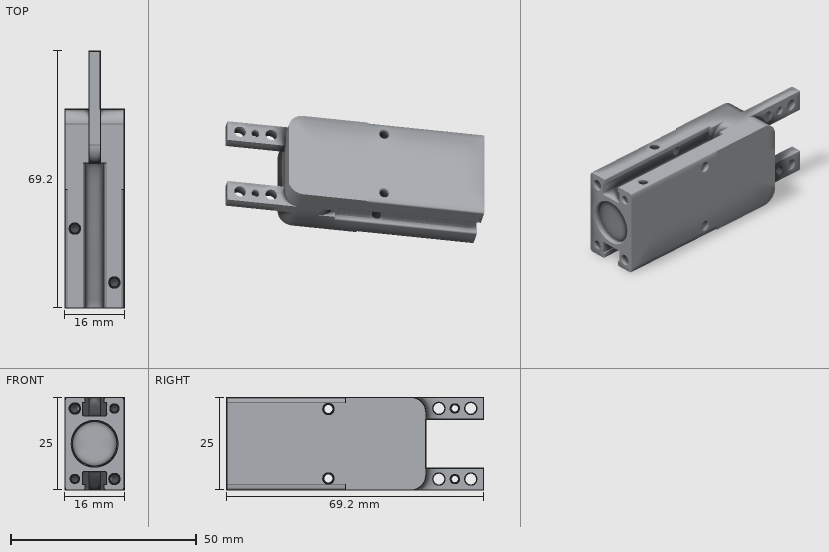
import cadquery as cq
import math

WIDTH = 16.0
HEIGHT = 25.0
HOUSING_LENGTH = 53.6
NOSE_RADIUS = 4.0

RELIEF_LENGTH = 32.0
RELIEF_HEIGHT = 1.45
RELIEF_WIDTH = 0.6
RELIEF_SIDE_DRAW_IN = 0.17
EDGE_DROP = 0.35
EDGE_ROUND_RADIUS = 0.5

RAIL_LENGTH = 39.1
RAIL_DEPTH = 5.0
RAIL_WIDTH = 6.45
LIP_OPENING = 5.2
LIP_DEPTH = 1.45
RAIL_RADIUS = 0.4

BORE_DIAMETER = 12.0
BORE_MOUTH_DIAMETER = 12.6
BORE_DEPTH = 1.5

SMALL_CORE = 2.0
SMALL_MOUTH = 2.5
LARGE_CORE = 2.5
LARGE_MOUTH = 3.05
DRILL_POINT_ANGLE = 118
BLIND_DEPTH = 4.0

HOLE_X = 5.3
HOLE_Z = 9.5
TOP_HOLE_FRONT_Y = 21.45
TOP_HOLE_REAR_Y = 6.9
SIDE_HOLE_Y = 27.4
SIDE_HOLE_Z = 9.35

FINGER_TIP_Y = 69.2
FINGER_THICKNESS = 3.1
FINGER_HEIGHT = 5.95
FINGER_HEEL_RADIUS = 4.7
HEEL_GAP = 0.15
FINGER_HOLE_Y = 61.45
FINGER_HOLE_PITCH = 4.3
FINGER_HOLE_DIAMETER = 3.2

UP = cq.Vector(0, 0, 1)
RIGHT = cq.Vector(1, 0, 0)
FORWARD = cq.Vector(0, 1, 0)


def box_between(x_size, y_start, y_end, z_size):
    """Block centred on X and Z that spans the given Y range."""
    length = y_end - y_start
    return cq.Workplane("XY").box(x_size, length, z_size).translate((0, y_start + length / 2, 0))


def chamfered_mouth(point, direction, core, mouth):
    """45 degree cone that opens a hole from its core to its mouth diameter."""
    depth = (mouth - core) / 2
    return cq.Solid.makeCone(mouth / 2, core / 2, depth, point, direction)


def blind_hole(point, direction, core, mouth):
    """Cutter for a drilled hole with a chamfered mouth and a conical bottom."""
    tip_height = core / 2 / math.tan(math.radians(DRILL_POINT_ANGLE / 2))
    bottom = point + direction * BLIND_DEPTH
    shaft = cq.Solid.makeCylinder(core / 2, BLIND_DEPTH, point, direction)
    tip = cq.Solid.makeCone(core / 2, 0, tip_height, bottom, direction)
    return shaft.fuse(tip, chamfered_mouth(point, direction, core, mouth))


def cross_hole(y, z, width, core, mouth):
    """Cutter for a hole along X through a given width, chamfered at both ends."""
    start = cq.Vector(-width / 2, y, z)
    end = cq.Vector(width / 2, y, z)
    shaft = cq.Solid.makeCylinder(core / 2, width, start, RIGHT)
    return shaft.fuse(
        chamfered_mouth(start, RIGHT, core, mouth),
        chamfered_mouth(end, -RIGHT, core, mouth),
    )


def edge_relief():
    """Cutter for the long edge at +X, +Z: the side curves in, then rounds over to the top."""
    side = WIDTH / 2
    top = HEIGHT / 2
    shoulder_x = side - RELIEF_SIDE_DRAW_IN
    shoulder_z = top - EDGE_DROP
    curve_height = RELIEF_HEIGHT - EDGE_DROP
    curve_radius = (curve_height ** 2 + RELIEF_SIDE_DRAW_IN ** 2) / (2 * RELIEF_SIDE_DRAW_IN)
    half_angle = math.asin(curve_height / curve_radius) / 2
    curve_middle = (
        side - curve_radius * (1 - math.cos(half_angle)),
        top - RELIEF_HEIGHT + curve_radius * math.sin(half_angle),
    )
    return (
        cq.Workplane("XZ")
        .moveTo(side - RELIEF_WIDTH, top)
        .radiusArc((shoulder_x, shoulder_z), EDGE_ROUND_RADIUS)
        .threePointArc(curve_middle, (side, top - RELIEF_HEIGHT))
        .lineTo(side, top)
        .close()
        .extrude(-RELIEF_LENGTH)
    )


def rail():
    """Cutter for the undercut rail in the top face, with rounded lips and floor corners."""
    top = HEIGHT / 2
    undercut_height = RAIL_DEPTH - LIP_DEPTH
    undercut = (
        box_between(RAIL_WIDTH, 0, RAIL_LENGTH, undercut_height)
        .edges("|Y and <Z")
        .fillet(RAIL_RADIUS)
        .translate((0, 0, top - RAIL_DEPTH + undercut_height / 2))
    )
    half_opening = LIP_OPENING / 2
    opening = (
        cq.Workplane("XZ")
        .moveTo(-half_opening - RAIL_RADIUS, top)
        .radiusArc((-half_opening, top - RAIL_RADIUS), RAIL_RADIUS)
        .lineTo(-half_opening, top - LIP_DEPTH)
        .lineTo(half_opening, top - LIP_DEPTH)
        .lineTo(half_opening, top - RAIL_RADIUS)
        .radiusArc((half_opening + RAIL_RADIUS, top), RAIL_RADIUS)
        .close()
        .extrude(-RAIL_LENGTH)
    )
    return undercut.union(opening)


def rear_bore():
    """Cutter for the shallow round recess in the rear face."""
    origin = cq.Vector(0, 0, 0)
    shaft = cq.Solid.makeCylinder(BORE_DIAMETER / 2, BORE_DEPTH, origin, FORWARD)
    return shaft.fuse(chamfered_mouth(origin, FORWARD, BORE_DIAMETER, BORE_MOUTH_DIAMETER))


def make_housing():
    body = box_between(WIDTH, 0, HOUSING_LENGTH, HEIGHT)
    body = body.edges("|X and >Y").fillet(NOSE_RADIUS)

    relief = edge_relief()
    for cutter in (relief, relief.mirror("YZ")):
        body = body.cut(cutter).cut(cutter.mirror("XY"))

    body = body.cut(rail()).cut(rail().mirror("XY"))
    body = body.cut(box_between(FINGER_THICKNESS, RAIL_LENGTH, HOUSING_LENGTH, HEIGHT))

    body = body.cut(cq.Workplane(rear_bore()))

    for side in (-1, 1):
        large_at = cq.Vector(side * HOLE_X, 0, -side * HOLE_Z)
        small_at = cq.Vector(side * HOLE_X, 0, side * HOLE_Z)
        body = body.cut(cq.Workplane(blind_hole(large_at, FORWARD, LARGE_CORE, LARGE_MOUTH)))
        body = body.cut(cq.Workplane(blind_hole(small_at, FORWARD, SMALL_CORE, SMALL_MOUTH)))

    for x, y in ((-HOLE_X, TOP_HOLE_FRONT_Y), (HOLE_X, TOP_HOLE_REAR_Y)):
        top_point = cq.Vector(x, y, HEIGHT / 2)
        body = body.cut(cq.Workplane(blind_hole(top_point, -UP, LARGE_CORE, LARGE_MOUTH)))

    for z in (-SIDE_HOLE_Z, SIDE_HOLE_Z):
        body = body.cut(cq.Workplane(cross_hole(SIDE_HOLE_Y, z, WIDTH, LARGE_CORE, LARGE_MOUTH)))
    return body.solids().val()


def make_upper_finger():
    heel_y = RAIL_LENGTH + HEEL_GAP
    middle_z = (HEIGHT - FINGER_HEIGHT) / 2
    finger = box_between(FINGER_THICKNESS, heel_y, FINGER_TIP_Y, FINGER_HEIGHT)
    finger = finger.edges("|X and <Y and >Z").fillet(FINGER_HEEL_RADIUS)
    finger = finger.translate((0, 0, middle_z))

    thread = cross_hole(FINGER_HOLE_Y, middle_z, FINGER_THICKNESS, SMALL_CORE, SMALL_MOUTH)
    finger = finger.cut(cq.Workplane(thread))
    for y in (FINGER_HOLE_Y - FINGER_HOLE_PITCH, FINGER_HOLE_Y + FINGER_HOLE_PITCH):
        start = cq.Vector(-FINGER_THICKNESS / 2, y, middle_z)
        hole = cq.Solid.makeCylinder(FINGER_HOLE_DIAMETER / 2, FINGER_THICKNESS, start, RIGHT)
        finger = finger.cut(cq.Workplane(hole))
    return finger.solids().val()


housing = make_housing()

upper_finger = make_upper_finger()
fingers = [upper_finger, upper_finger.mirror("XY")]

result = cq.Compound.makeCompound([housing, *fingers])